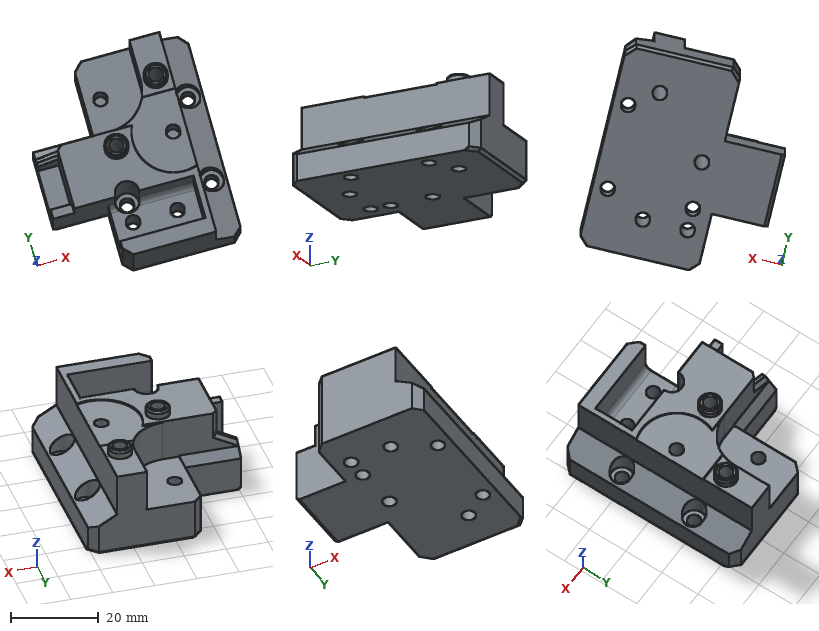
import cadquery as cq
import math

LENGTH_X = 41.0
LENGTH_Y = 48.0
BLOCK_TOP = 20.4
CORNER = 2.0
BOTTOM_CHAMFER = 0.75
FRONT_LEFT_X = 13.05
BACK_LEFT_X = 14.1
STEP_Z = BLOCK_TOP / 2

FLANGE_X = 34.65
FLANGE_ANGLE = 30.0

ARM_FRONT_Y = 13.85
ARM_BACK_Y = 31.0
ARM_BODY_BACK_Y = 28.9
ARM_STEP_X = 5.0
LEDGE_Z = 14.5
SLOT_FRONT_Y = 16.1
SLOT_BACK_Y = 26.95
SLOT_FLOOR_Z = 6.3
RIDGE_Y = 27.85
RIDGE_Z = 11.5
RIDGE_ANGLE = 29.0

POCKET_FRONT_Y = 3.75
POCKET_END_X = 33.15
POCKET_FLOOR_Z = 10.55
POCKET_RADIUS = 1.6

SEAT_RADIUS = 9.5
SHELF_PIVOT = (18.05, 38.4)
RECESS_PIVOT = (31.5, 25.0)
RECESS_DEPTH = 0.3
PIVOT_HOLE_DIAMETER = 3.25
PIVOT_HOLE_DEPTH = 6.0

BOSS_CENTERS = [(31.1, 38.4), (18.05, 25.0)]
BOSS_DIAMETER = 5.5
BOSS_HEIGHT = 1.9
BOSS_CHAMFER = 0.5
BOSS_BORE = 3.3

SCREW_DIAMETER = 3.25
COUNTERBORE_DIAMETER = 5.6
COUNTERBORE_FLOOR_Z = 5.0
COUNTERBORED_HOLES = [(17.5, 14.0), (37.5, 14.0), (37.5, 34.0)]
POCKET_HOLES = [(17.5, 8.95), (28.05, 8.95)]


def box(x0, x1, y0, y1, z0, z1):
    """Axis-aligned box between the given limits."""
    return cq.Workplane("XY").box(x1 - x0, y1 - y0, z1 - z0, centered=False).translate((x0, y0, z0))


def cylinder(center, diameter, z0, z1):
    """Upright cylinder between two heights."""
    return cq.Workplane("XY", origin=(*center, z0)).circle(diameter / 2).extrude(z1 - z0)


def main_block():
    """Full-height body with chamfered corners and a chamfer under its back edge."""
    outline = [
        (FRONT_LEFT_X + CORNER, 0),
        (LENGTH_X - CORNER, 0),
        (LENGTH_X, CORNER),
        (LENGTH_X, LENGTH_Y - CORNER),
        (LENGTH_X - CORNER, LENGTH_Y),
        (BACK_LEFT_X + CORNER, LENGTH_Y),
        (BACK_LEFT_X, LENGTH_Y - CORNER),
        (BACK_LEFT_X, ARM_BODY_BACK_Y),
        (FRONT_LEFT_X, ARM_BODY_BACK_Y),
        (FRONT_LEFT_X, CORNER),
    ]
    block = cq.Workplane("XY").polyline(outline).close().extrude(BLOCK_TOP)
    back_edges = cq.selectors.BoxSelector(
        (0, LENGTH_Y - CORNER, -0.5), (LENGTH_X, LENGTH_Y + 0.5, 0.5)
    )
    return block.faces("<Z").edges(back_edges).chamfer(BOTTOM_CHAMFER)


def flange_cut():
    """Material above the sloped flange."""
    drop = (LENGTH_X - FLANGE_X) * math.tan(math.radians(FLANGE_ANGLE))
    profile = [
        (FLANGE_X, STEP_Z),
        (LENGTH_X, STEP_Z - drop),
        (LENGTH_X, BLOCK_TOP),
        (FLANGE_X, BLOCK_TOP),
    ]
    return cq.Workplane("XZ").polyline(profile).close().extrude(-LENGTH_Y)


def arm():
    """Arm with a slotted end, a sloping back wall and a full-height body."""
    base_profile = [
        (ARM_FRONT_Y, 0),
        (ARM_BACK_Y, 0),
        (ARM_BACK_Y, RIDGE_Z - (ARM_BACK_Y - RIDGE_Y)),
        (ARM_BODY_BACK_Y, RIDGE_Z - (ARM_BODY_BACK_Y - RIDGE_Y)),
        (ARM_BODY_BACK_Y, SLOT_FLOOR_Z),
        (ARM_FRONT_Y, SLOT_FLOOR_Z),
    ]
    base = cq.Workplane("YZ").polyline(base_profile).close().extrude(BACK_LEFT_X)
    base = base.faces("<X").edges("<Z").chamfer(BOTTOM_CHAMFER)

    front_wall = box(0, ARM_STEP_X, ARM_FRONT_Y, SLOT_FRONT_Y, SLOT_FLOOR_Z, LEDGE_Z)

    bevel = ARM_BODY_BACK_Y - RIDGE_Y
    body_outline = [
        (ARM_STEP_X, ARM_FRONT_Y),
        (BACK_LEFT_X, ARM_FRONT_Y),
        (BACK_LEFT_X, ARM_BODY_BACK_Y),
        (ARM_STEP_X + bevel, ARM_BODY_BACK_Y),
        (ARM_STEP_X, RIDGE_Y),
    ]
    body = (
        cq.Workplane("XY", origin=(0, 0, SLOT_FLOOR_Z))
        .polyline(body_outline).close().extrude(BLOCK_TOP - SLOT_FLOOR_Z)
    )

    run = ARM_STEP_X + bevel
    rise = run * math.tan(math.radians(RIDGE_ANGLE))
    wall_section = [
        (0, SLOT_BACK_Y, SLOT_FLOOR_Z - rise),
        (0, ARM_BODY_BACK_Y, SLOT_FLOOR_Z - rise),
        (0, ARM_BODY_BACK_Y, RIDGE_Z - bevel),
        (0, RIDGE_Y, RIDGE_Z),
        (0, SLOT_BACK_Y, RIDGE_Z),
    ]
    section_wire = cq.Wire.makePolygon([cq.Vector(*point) for point in wall_section], close=True)
    back_wall = cq.Workplane(cq.Solid.extrudeLinear(section_wire, [], cq.Vector(run, 0, rise)))
    back_wall = back_wall.intersect(box(0, run, SLOT_BACK_Y, ARM_BODY_BACK_Y, SLOT_FLOOR_Z, BLOCK_TOP))

    return base.union(front_wall).union(body).union(back_wall)


def pocket():
    """Pocket open at the left, with rounded edges along its floor."""
    cut = box(FRONT_LEFT_X, POCKET_END_X, POCKET_FRONT_Y, ARM_FRONT_Y, POCKET_FLOOR_Z, BLOCK_TOP)
    return cut.faces("<Z").edges("|X").fillet(POCKET_RADIUS)


def shelf_cut():
    """Space above the back shelf, rounded about the shelf pivot."""
    pivot_x, pivot_y = SHELF_PIVOT
    diagonal = SEAT_RADIUS * math.sqrt(0.5)
    return (
        cq.Workplane("XY", origin=(0, 0, STEP_Z))
        .moveTo(BACK_LEFT_X, LENGTH_Y)
        .lineTo(BACK_LEFT_X, pivot_y - SEAT_RADIUS)
        .lineTo(pivot_x, pivot_y - SEAT_RADIUS)
        .threePointArc((pivot_x + diagonal, pivot_y - diagonal), (pivot_x + SEAT_RADIUS, pivot_y))
        .lineTo(pivot_x + SEAT_RADIUS, LENGTH_Y)
        .close()
        .extrude(BLOCK_TOP - STEP_Z)
    )


def recess_cut():
    """Shallow round recess, widened at the back up to the shelf."""
    floor_z = BLOCK_TOP - RECESS_DEPTH
    recess_back_y = RECESS_PIVOT[1] + SEAT_RADIUS
    round_part = cylinder(RECESS_PIVOT, 2 * SEAT_RADIUS, floor_z, BLOCK_TOP)
    back_part = box(SHELF_PIVOT[0], FLANGE_X, ARM_BODY_BACK_Y, recess_back_y, floor_z, BLOCK_TOP)
    return round_part.union(back_part)


result = main_block().cut(flange_cut()).union(arm())
result = result.cut(pocket()).cut(shelf_cut()).cut(recess_cut())

for center, seat_z in [(SHELF_PIVOT, STEP_Z), (RECESS_PIVOT, BLOCK_TOP - RECESS_DEPTH)]:
    result = result.cut(cylinder(center, PIVOT_HOLE_DIAMETER, seat_z - PIVOT_HOLE_DEPTH, seat_z))

boss_top = BLOCK_TOP + BOSS_HEIGHT
for center in BOSS_CENTERS:
    boss = cylinder(center, BOSS_DIAMETER, BLOCK_TOP, boss_top).faces(">Z").edges().chamfer(BOSS_CHAMFER)
    result = result.union(boss).cut(cylinder(center, BOSS_BORE, 0, boss_top))

for center in COUNTERBORED_HOLES:
    result = result.cut(cylinder(center, COUNTERBORE_DIAMETER, COUNTERBORE_FLOOR_Z, BLOCK_TOP))

for center in COUNTERBORED_HOLES + POCKET_HOLES:
    result = result.cut(cylinder(center, SCREW_DIAMETER, 0, BLOCK_TOP))